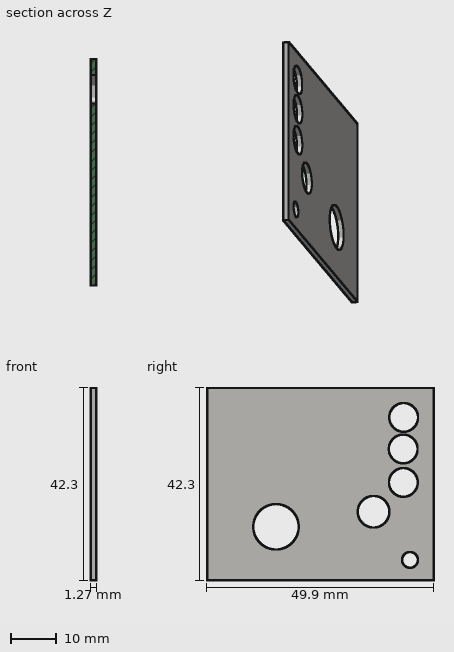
import cadquery as cq

thickness = 1.27
width = 49.85
height = 42.29

column_hole_diameter = 6.28
middle_hole_diameter = 6.91
large_hole_diameter = 9.94
small_hole_diameter = 3.44

holes = [
    (column_hole_diameter, 18.28, 14.68),
    (column_hole_diameter, 18.18, 7.74),
    (column_hole_diameter, 18.22, 0.39),
    (middle_hole_diameter, 11.67, -6.05),
    (large_hole_diameter, -9.77, -9.36),
    (small_hole_diameter, 19.68, -16.64),
]


def make_plate():
    return cq.Workplane("XY").box(thickness, width, height)


def make_hole_cutter(diameter, y, z):
    """Cylinder along X that passes through the full plate thickness."""
    return (
        cq.Workplane("YZ")
        .center(y, z)
        .circle(diameter / 2)
        .extrude(thickness, both=True)
    )


result = make_plate()
for diameter, y, z in holes:
    result = result.cut(make_hole_cutter(diameter, y, z))